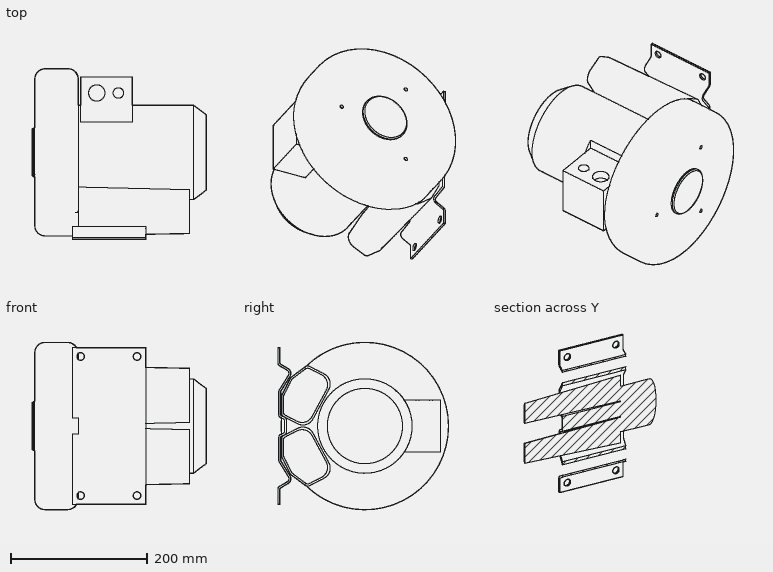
import cadquery as cq
import math


HOUSING_R = 246.0 / 2
HOUSING_LENGTH = 64.0
FRONT_ROUND = 15.4
REAR_ROUND = [(0, 14.8), (85, 16.6), (110, 12.5), (136, 3.8)]
CUT_CLEARANCE = 2.5
BADGE_R = 36.0
BADGE_HEIGHT = 3.8
BADGE_CHAMFER = 1.8
COVER_HOLE_CIRCLE_R = 70.1
COVER_HOLE_DIAMETER = 5.0
COVER_HOLE_DEPTH = 5.0

MOTOR_R = 69.5
MOTOR_END_X = 252.2
MOTOR_CONE_LENGTH = 18.7
MOTOR_END_R = 55.3

BOX_X = (67.5, 143.4)
BOX_Y = (44.8, 110.8)
BOX_TOP_Z = 38.1
GLAND_Y = 87.3
GLAND_DEPTH = 12.8
GLANDS = [(91.1, 24.0), (123.0, 15.4)]
DRILL_POINT_ANGLE = 118.0

SILENCER_END_X = 227.5
SILENCER_DRAFT = 1.0
SILENCER_CORNERS = [
    (-44.8, 68.9, 16.6),
    (-84.7, 89.3, 6.1),
    (-109.3, 71.0, 3.8),
    (-122.0, 45.3, 3.8),
    (-122.0, 15.4, 3.8),
    (-84.0, -4.0, 16.6),
]

SHEET = 3.0
BRACKET_X = (55.3, 163.3)
BRACKET_HALF_HEIGHT = 115.2
FOOT_HOLE_X = (67.3, 150.3)
FOOT_HOLE_Z = 102.1
FOOT_HOLE_DIAMETER = 10.8
FOOT_Y = -127.7
BRACKET_CORNERS = [
    (FOOT_Y, 89.9, 5.0),
    (-109.5, 79.0, 5.0),
    (-126.5, 52.0, 5.0),
    (-126.5, 13.0, 4.9),
    (-118.0, 10.0, 3.0),
]


def box_between(x_range, y_range, z_range):
    corner = cq.Vector(x_range[0], y_range[0], z_range[0])
    size = (x_range[1] - x_range[0], y_range[1] - y_range[0], z_range[1] - z_range[0])
    return cq.Workplane("XY").add(cq.Solid.makeBox(*size, corner))


def drill(position, direction, diameter, depth):
    """Blind hole with a full-width conical bottom, `depth` being that of its straight wall."""
    radius = diameter / 2
    tip = radius / math.tan(math.radians(DRILL_POINT_ANGLE / 2))
    start = cq.Vector(*position)
    axis = cq.Vector(*direction)
    wall = cq.Solid.makeCylinder(radius, depth, start, axis)
    point = cq.Solid.makeCone(radius, 0, tip, start + axis * depth, axis)
    return cq.Workplane("XY").add(wall.fuse(point))


def rear_rim_section(angle, radius):
    """Wire around the rim corner outside a round of this radius, in the plane of the axis."""
    turn = math.radians(angle)

    def at(x, r):
        return cq.Vector(x, r * math.cos(turn), r * math.sin(turn))

    tangent_x = HOUSING_LENGTH - radius
    tangent_r = HOUSING_R - radius
    outer_x = HOUSING_LENGTH + CUT_CLEARANCE
    outer_r = HOUSING_R + CUT_CLEARANCE
    arc_reach = radius * math.sqrt(0.5)
    on_side = at(tangent_x, HOUSING_R)
    on_rear = at(HOUSING_LENGTH, tangent_r)
    arc_middle = at(tangent_x + arc_reach, tangent_r + arc_reach)
    corners = [on_rear, at(outer_x, tangent_r), at(outer_x, outer_r), at(tangent_x, outer_r), on_side]
    edges = [cq.Edge.makeThreePointArc(on_side, arc_middle, on_rear)]
    edges += [cq.Edge.makeLine(start, end) for start, end in zip(corners, corners[1:])]
    return cq.Wire.assembleEdges(edges)


def rear_rim_waste(side):
    """Material outside the fading round, from +Y round to one silencer (side = 1 or -1)."""
    last = math.radians(REAR_ROUND[-1][0])
    points = [
        cq.Vector(HOUSING_LENGTH, HOUSING_R * math.cos(a), side * HOUSING_R * math.sin(a))
        for a in (0, last / 2, last)
    ]
    path = cq.Wire.assembleEdges([cq.Edge.makeThreePointArc(*points)])
    sections = [rear_rim_section(side * angle, radius) for angle, radius in REAR_ROUND]
    return cq.Workplane("XY").add(cq.Solid.sweep_multi(sections, path))


def make_housing():
    housing = cq.Workplane("YZ").circle(HOUSING_R).extrude(HOUSING_LENGTH)
    housing = housing.faces("<X").edges().fillet(FRONT_ROUND)
    for side in (1, -1):
        housing = housing.cut(rear_rim_waste(side))
    badge = cq.Workplane("YZ").circle(BADGE_R).extrude(-BADGE_HEIGHT)
    housing = housing.union(badge.faces("<X").chamfer(BADGE_CHAMFER))
    for angle in (0, 120, 240):
        turn = math.radians(angle)
        y = COVER_HOLE_CIRCLE_R * math.cos(turn)
        z = COVER_HOLE_CIRCLE_R * math.sin(turn)
        housing = housing.cut(drill((0, y, z), (1, 0, 0), COVER_HOLE_DIAMETER, COVER_HOLE_DEPTH))
    return housing


def make_motor():
    cone_x = MOTOR_END_X - MOTOR_CONE_LENGTH
    outline = [
        (HOUSING_LENGTH / 2, 0),
        (HOUSING_LENGTH / 2, MOTOR_R),
        (cone_x, MOTOR_R),
        (MOTOR_END_X, MOTOR_END_R),
        (MOTOR_END_X, 0),
    ]
    motor = cq.Workplane("XY").polyline(outline).close().revolve(360, (0, 0), (1, 0))
    motor = motor.cut(box_between(BOX_X, BOX_Y, (BOX_TOP_Z, MOTOR_R)))
    motor = motor.union(box_between(BOX_X, BOX_Y, (-BOX_TOP_Z, BOX_TOP_Z)))
    for x, diameter in GLANDS:
        motor = motor.cut(drill((x, GLAND_Y, BOX_TOP_Z), (0, 0, -1), diameter, GLAND_DEPTH))
    return motor


def round_long_edges(block, corners, x):
    """Round the lengthwise edge that passes each (Y, Z, radius) corner of the section at x."""
    for y, z, radius in corners:
        block = block.edges(cq.NearestToPointSelector((x, y, z))).fillet(radius)
    return block


def make_silencer():
    outline = [(y, z) for y, z, _ in SILENCER_CORNERS]
    length = SILENCER_END_X - HOUSING_LENGTH
    block = cq.Workplane("YZ", origin=(HOUSING_LENGTH, 0, 0)).polyline(outline).close()
    block = block.extrude(length, taper=SILENCER_DRAFT)
    return round_long_edges(block, SILENCER_CORNERS, HOUSING_LENGTH + length / 2)


def make_bracket():
    lower = [(y, -z, radius) for y, z, radius in reversed(BRACKET_CORNERS)]
    bends = BRACKET_CORNERS + lower
    overrun = BRACKET_HALF_HEIGHT + 2 * SHEET
    outline = [(0, overrun), (FOOT_Y, overrun)]
    outline += [(y, z) for y, z, _ in bends]
    outline += [(FOOT_Y, -overrun), (0, -overrun)]
    width = BRACKET_X[1] - BRACKET_X[0]
    start = cq.Workplane("YZ", origin=(BRACKET_X[0], 0, 0))
    block = start.polyline(outline).close().extrude(width)
    block = round_long_edges(block, bends, sum(BRACKET_X) / 2)
    face_outline = block.faces("<X").wires().val()
    core = start.add(face_outline.offset2D(-SHEET)).toPending().extrude(width)
    reach = (-BRACKET_HALF_HEIGHT, BRACKET_HALF_HEIGHT)
    bracket = block.cut(core).intersect(box_between(BRACKET_X, (FOOT_Y, -2 * SHEET), reach))
    holes = [(x, side * FOOT_HOLE_Z) for x in FOOT_HOLE_X for side in (1, -1)]
    drills = cq.Workplane("XZ", origin=(0, FOOT_Y, 0)).pushPoints(holes)
    return bracket.cut(drills.circle(FOOT_HOLE_DIAMETER / 2).extrude(-2 * SHEET))


silencer = make_silencer()
result = make_housing().union(make_motor())
result = result.union(silencer).union(silencer.mirror("XY"))
result = result.union(make_bracket())